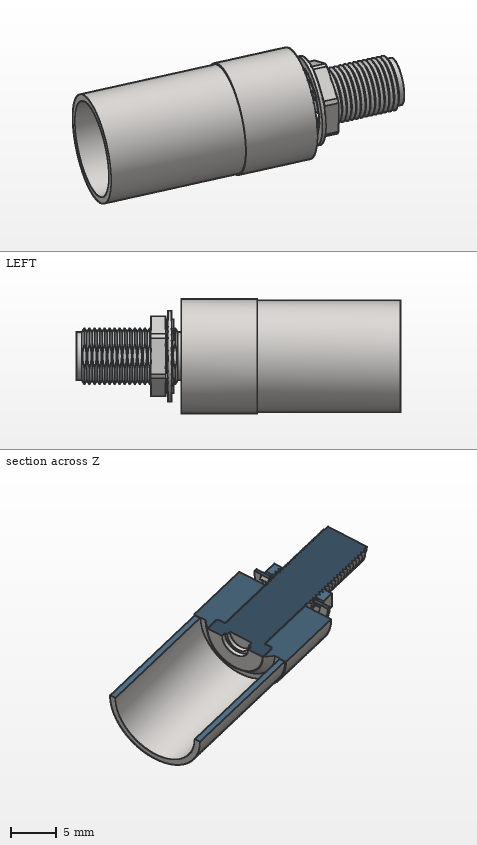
import cadquery as cq
import math

total_length = 35.92

tube_radius = 6.2
tube_bore_radius = 5.45
tube_length = 15.88

cap_radius = 6.35
cap_end = 24.3
boss_base_radius = 4.78
boss_tip_radius = 3.85
boss_height = boss_base_radius - boss_tip_radius
boss_tip = tube_length - boss_height

base_radius = 3.77
base_thickness = 1.8
base_end = boss_tip + base_thickness
socket_radius = 1.8
socket_depth = 0.55
socket_bore_radius = 1.47
socket_bore_depth = 1.08
shank_radius = 2.7
flat_distance = 2.8

thread_start = 24.7
thread_end = 35.3
ridge_count = 19
thread_pitch = (thread_end - thread_start) / ridge_count
crest_radius = 3.13

nut_start = 26.05
nut_thickness = 1.6
nut_across_flats = 7.97
nut_corner_radius = 4.45

washer_start = 25.35
washer_thickness = 0.43
washer_outer_radius = 5.05
washer_inner_radius = 4.02
tooth_count = 8
tooth_tip_radius = 3.0
tooth_root_radius = 4.1
tooth_width = 1.3
tooth_twist = 22.0


def revolved(points):
    """Solid of revolution about the Y axis from a closed outline of (radius, Y) points."""
    return cq.Workplane("XY").polyline(points).close().revolve(360, (0, 0, 0), (0, 1, 0))


def cylinder(radius, start, end):
    """Cylinder about the Y axis from Y = start to Y = end."""
    return revolved([(0, start), (radius, start), (radius, end), (0, end)])


def make_threaded_rod(start, end):
    """Shank from Y = start to Y = end with all the thread ridges, fully round."""
    outline = [(0, start), (shank_radius, start), (shank_radius, thread_start)]
    for ridge in range(ridge_count):
        ridge_start = thread_start + ridge * thread_pitch
        outline.append((crest_radius, ridge_start + thread_pitch / 2))
        outline.append((shank_radius, ridge_start + thread_pitch))
    outline += [(shank_radius, end), (0, end)]
    return revolved(outline)


def make_tube():
    return cylinder(tube_radius, 0, tube_length).cut(cylinder(tube_bore_radius, 0, tube_length))


def make_cap():
    boss = revolved(
        [(0, boss_tip), (boss_tip_radius, boss_tip), (boss_base_radius, tube_length), (0, tube_length)]
    )
    cap = cylinder(cap_radius, tube_length, cap_end).union(boss)
    base_recess = cylinder(base_radius, boss_tip, base_end)
    shank_hole = cylinder(shank_radius, base_end, cap_end)
    return cap.cut(base_recess).cut(shank_hole)


def make_connector():
    base = cylinder(base_radius, boss_tip, base_end)
    socket = cylinder(socket_radius, boss_tip, boss_tip + socket_depth)
    socket_bore = cylinder(socket_bore_radius, boss_tip, boss_tip + socket_bore_depth)
    flat_cutter = (
        cq.Workplane("XY")
        .box(crest_radius, total_length, 2 * crest_radius, centered=(True, False, True))
        .translate((-flat_distance - crest_radius / 2, cap_end, 0))
    )
    shank = threaded_rod.cut(flat_cutter)
    return base.union(shank).cut(socket).cut(socket_bore)


def make_nut():
    nut_end = nut_start + nut_thickness
    across_corners = nut_across_flats / math.cos(math.radians(30))
    hexagon = (
        cq.Workplane("XZ", origin=(0, nut_end, 0))
        .transformed(rotate=(0, 0, 30))
        .polygon(6, across_corners)
        .extrude(nut_thickness)
    )
    return hexagon.intersect(cylinder(nut_corner_radius, nut_start, nut_end)).cut(threaded_rod)


def make_lock_washer():
    washer_end = washer_start + washer_thickness
    washer = cylinder(washer_outer_radius, washer_start, washer_end)
    washer = washer.cut(cylinder(washer_inner_radius, washer_start, washer_end))
    tooth = (
        cq.Workplane("XY")
        .box(tooth_root_radius - tooth_tip_radius, washer_thickness, tooth_width)
        .translate(((tooth_root_radius + tooth_tip_radius) / 2, 0, 0))
        .rotate((0, 0, 0), (1, 0, 0), tooth_twist)
        .translate((0, (washer_start + washer_end) / 2, 0))
    )
    for index in range(tooth_count):
        washer = washer.union(tooth.rotate((0, 0, 0), (0, 1, 0), index * 360 / tooth_count))
    return washer.cut(threaded_rod)


threaded_rod = make_threaded_rod(base_end, total_length)

tube = make_tube()
cap = make_cap()
connector = make_connector()
nut = make_nut()
lock_washer = make_lock_washer()

result = cq.Compound.makeCompound(
    [tube.val(), cap.val(), connector.val(), nut.val(), lock_washer.val()]
)